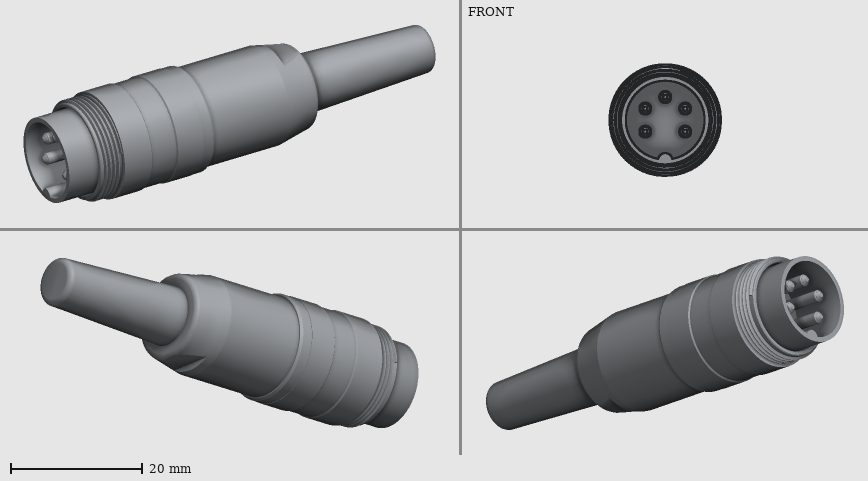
import cadquery as cq
import math


boot_tip_y = 67.4
boot_tip_diameter = 7.55
boot_base_diameter = 9.4
boot_tip_fillet = 0.95

sleeve_rear_y = 44.6
sleeve_cone_y = 38.6
sleeve_rear_diameter = 13.35
sleeve_diameter = 15.85
sleeve_rear_fillet = 0.9
flat_front_y = 40.05
flat_height = 6.6
flange_diameter = 16.85
flange_rear_y = 25.0
flange_chamfer_length = 0.4
flange_chamfer_depth = 0.3

ring_diameter = 17.0
ring_rear_y = 22.85
waist_rear_y = 18.1
waist_front_y = 13.9
waist_diameter = 16.6
waist_chamfer = (ring_diameter - waist_diameter) / 2
ring_shoulder_y = 8.8
ring_front_y = 5.0
ring_front_chamfer = 0.15
ring_bore_diameter = 13.95
ring_bore_chamfer = 0.15

thread_root_diameter = 15.3
thread_crest_diameter = 16.2
thread_pitch = 0.75
thread_start_y = 5.5
thread_start_angle = 180
thread_base_width = 0.6
thread_crest_width = 0.15
thread_embed = 0.15

shell_diameter = 13.5
shell_bore_diameter = 12.0
shell_floor_y = 9.45
key_diameter = 2.2
key_centre_z = -6.1

pin_circle_radius = 3.5
pin_angles = (-30, 30, 90, 150, 210)
pin_diameter = 1.8
pin_tip_y = 1.15
pin_neck_diameter = 1.5
pin_step = 0.5
pin_shank_chamfer = 0.17
pin_tip_chamfer = 0.4


def revolved(profile):
    """Solid of revolution about Y from (radius, y) points."""
    return cq.Workplane("XY").polyline(profile).close().revolve(360, (0, 0, 0), (0, 1, 0))


def cylinder(diameter, start_y, end_y, x=0, z=0):
    """Cylinder along Y between two stations."""
    return (
        cq.Workplane("XZ", origin=(x, start_y, z))
        .circle(diameter / 2)
        .extrude(start_y - end_y)
    )


def make_boot():
    """Tapered cable boot with a rounded tip."""
    boot = revolved([
        (0, sleeve_rear_y),
        (boot_base_diameter / 2, sleeve_rear_y),
        (boot_tip_diameter / 2, boot_tip_y),
        (0, boot_tip_y),
    ])
    return boot.faces(">Y").edges().fillet(boot_tip_fillet)


def make_sleeve():
    """Rear sleeve with a conical end, two wrench flats and a front flange."""
    flange_radius = flange_diameter / 2
    sleeve = revolved([
        (0, ring_rear_y),
        (flange_radius, ring_rear_y),
        (flange_radius, flange_rear_y - flange_chamfer_length),
        (flange_radius - flange_chamfer_depth, flange_rear_y),
        (sleeve_diameter / 2, flange_rear_y),
        (sleeve_diameter / 2, sleeve_cone_y),
        (sleeve_rear_diameter / 2, sleeve_rear_y),
        (0, sleeve_rear_y),
    ])
    sleeve = sleeve.faces(">Y").edges().fillet(sleeve_rear_fillet)

    flat_length = sleeve_rear_y - flat_front_y
    cut_height = sleeve_diameter / 2 - flat_height
    for side in (-1, 1):
        flat_cut = cq.Workplane("XY").box(sleeve_diameter, flat_length, cut_height).translate(
            (0, flat_front_y + flat_length / 2, side * (flat_height + cut_height / 2))
        )
        sleeve = sleeve.cut(flat_cut)
    return sleeve


def make_thread_ridge():
    """Helical thread ridge, slightly sunk into the root cylinder."""
    inner_radius = thread_root_diameter / 2 - thread_embed
    crest_radius = thread_crest_diameter / 2
    helix = cq.Wire.makeHelix(thread_pitch, ring_shoulder_y - thread_start_y, inner_radius)
    ridge = (
        cq.Workplane("XZ")
        .polyline([
            (inner_radius, -thread_base_width / 2),
            (crest_radius, -thread_crest_width / 2),
            (crest_radius, thread_crest_width / 2),
            (inner_radius, thread_base_width / 2),
        ])
        .close()
        .sweep(cq.Workplane(helix), isFrenet=True)
    )
    ridge = ridge.rotate((0, 0, 0), (1, 0, 0), -90)
    ridge = ridge.rotate((0, 0, 0), (0, 1, 0), thread_start_angle)
    return ridge.translate((0, thread_start_y, 0))


def make_ring():
    """Coupling ring with a narrow waist and a threaded nose."""
    bore_radius = ring_bore_diameter / 2
    outer_radius = ring_diameter / 2
    waist_radius = waist_diameter / 2
    root_radius = thread_root_diameter / 2
    ring = revolved([
        (bore_radius, ring_front_y + ring_bore_chamfer),
        (bore_radius + ring_bore_chamfer, ring_front_y),
        (root_radius - ring_front_chamfer, ring_front_y),
        (root_radius, ring_front_y + ring_front_chamfer),
        (root_radius, ring_shoulder_y),
        (outer_radius, ring_shoulder_y),
        (outer_radius, waist_front_y - waist_chamfer),
        (waist_radius, waist_front_y),
        (waist_radius, waist_rear_y),
        (outer_radius, waist_rear_y + waist_chamfer),
        (outer_radius, ring_rear_y),
        (bore_radius, ring_rear_y),
    ])
    return ring.union(make_thread_ridge())


def make_pin(angle):
    """Contact pin with a stepped, chamfered tip."""
    x = pin_circle_radius * math.cos(math.radians(angle))
    z = pin_circle_radius * math.sin(math.radians(angle))
    shank = cylinder(pin_diameter, pin_tip_y + pin_step, shell_floor_y, x, z)
    shank = shank.faces("<Y").chamfer(pin_shank_chamfer)
    tip = cylinder(pin_neck_diameter, pin_tip_y, shell_floor_y, x, z)
    tip = tip.faces("<Y").chamfer(pin_tip_chamfer)
    return shank.union(tip)


def make_insert():
    """Contact insert: shell, floor, polarising key and pins in one piece."""
    shell = cylinder(shell_diameter, 0, ring_shoulder_y)
    core = cylinder(ring_bore_diameter, ring_shoulder_y, ring_rear_y)
    cavity = cylinder(shell_bore_diameter, 0, shell_floor_y)
    key = cylinder(key_diameter, 0, shell_floor_y, 0, key_centre_z)
    key = key.intersect(cylinder(shell_diameter, 0, shell_floor_y))
    insert = shell.union(core).cut(cavity).union(key)
    for angle in pin_angles:
        insert = insert.union(make_pin(angle))
    return insert


boot = make_boot()
sleeve = make_sleeve()
ring = make_ring()
insert = make_insert()

result = cq.Compound.makeCompound([boot.val(), sleeve.val(), ring.val(), insert.val()])